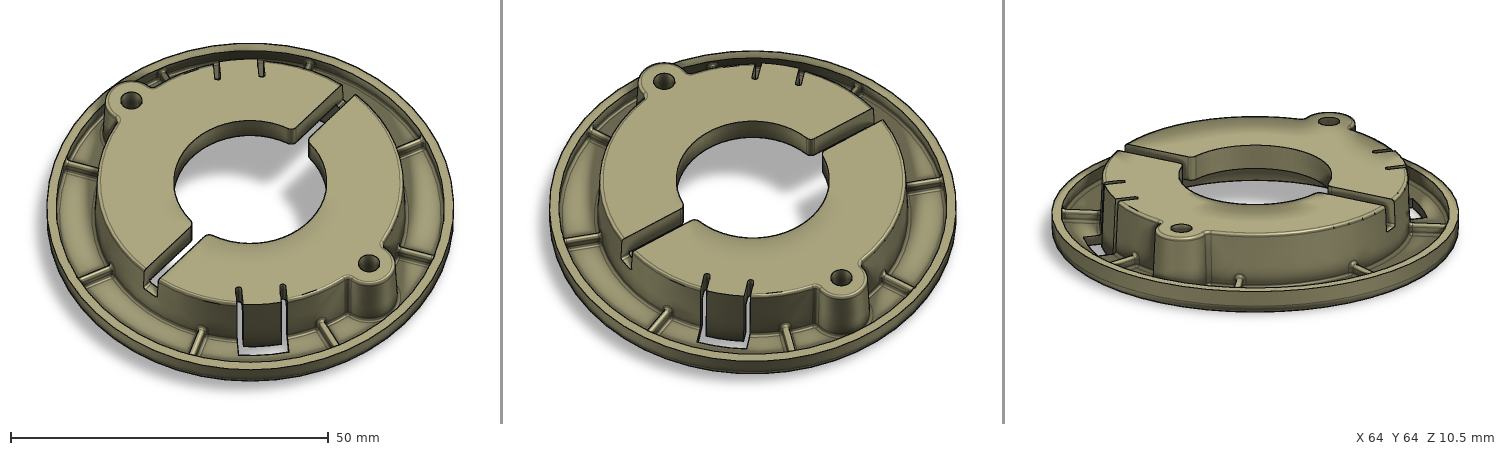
import cadquery as cq
import math

flange_radius = 32.0
flange_height = 4.0
flange_edge_fillet = 1.55
floor_thickness = 1.55
rim_thickness = 1.5
recess_fillet = 0.5

total_height = 10.5
hub_base_radius = 24.45
ear_base_radius = 4.5
ear_distance = 24.6
draft_angle = 2.5
ear_corner_fillet = 0.8
top_fillet = 0.5
plate_thickness = 4.0
cavity_radius = 22.65
screw_hole_radius = 1.65

bore_radius = 12.0
slot_width = 2.9
slot_depth = 4.5
slot_floor_fillet = 0.4
slot_mouth_fillet = 1.0

rib_width = 1.0
rib_height = 1.8
rib_overlap = 0.65
rib_count = 8
rib_spacing = 360 / rib_count
rib_angles = [rib_spacing * (index + 0.5) for index in range(rib_count)]

tab_angles = (135, 315)
window_width = 7.95
window_outer_radius = 27.3
slit_width = 0.95
slit_inner_distance = 20.35

hub_height = total_height - floor_thickness
tab_width = window_width - 2 * slit_width
ear_centers = [(-ear_distance, 0), (ear_distance, 0)]


def make_flange():
    """Dished disc with a rounded lower edge."""
    disc = cq.Workplane("XY").circle(flange_radius).extrude(flange_height)
    disc = disc.faces("<Z").edges().fillet(flange_edge_fillet)
    recess = (
        cq.Workplane("XY", origin=(0, 0, floor_thickness))
        .circle(flange_radius - rim_thickness)
        .extrude(flange_height)
    )
    return disc.cut(recess)


def make_hub():
    """Solid drafted hub with both ears, rounded corners and a rounded top edge."""
    base = cq.Workplane("XY", origin=(0, 0, floor_thickness))
    round_wall = base.circle(hub_base_radius).extrude(hub_height, taper=draft_angle)
    ears = base.pushPoints(ear_centers).circle(ear_base_radius).extrude(hub_height, taper=draft_angle)
    hub = round_wall.union(ears)
    corners = cq.selectors.BoxSelector(
        (-ear_distance, -hub_base_radius, floor_thickness + hub_height / 4),
        (ear_distance, hub_base_radius, total_height - hub_height / 4),
    )
    hub = hub.edges(corners).fillet(ear_corner_fillet)
    return hub.faces(">Z").edges().fillet(top_fillet)


def make_rib(angle):
    """Round-topped rib that reaches from the hub wall to the rim."""
    half = rib_width / 2
    shoulder = floor_thickness + rib_height - half
    inner_end = hub_base_radius - rib_overlap
    outer_end = flange_radius - rim_thickness + rib_overlap
    return (
        cq.Workplane("YZ", origin=(inner_end, 0, 0))
        .moveTo(-half, floor_thickness / 2)
        .lineTo(-half, shoulder)
        .threePointArc((0, shoulder + half), (half, shoulder))
        .lineTo(half, floor_thickness / 2)
        .close()
        .extrude(outer_end - inner_end)
        .rotate((0, 0, 0), (0, 0, 1), angle)
    )


def is_recess_corner(edge):
    """True for the edges where the recess floor, the ribs and the walls meet each other."""
    box = edge.BoundingBox()
    tolerance = 0.005
    rib_top = floor_thickness + rib_height
    in_rib_zone = box.zmin > floor_thickness - tolerance and box.zmax < rib_top + tolerance
    on_floor = box.zmax < floor_thickness + tolerance
    on_wall = box.zmax - box.zmin > tolerance
    return in_rib_zone and (on_floor or on_wall)


def make_slot():
    """Slot along Y through the plate and the hub wall, with a rounded floor."""
    return (
        cq.Workplane("XY", origin=(0, 0, total_height - slot_depth))
        .rect(slot_width, 2 * hub_base_radius)
        .extrude(slot_depth)
        .edges("|Y and <Z")
        .fillet(slot_floor_fillet)
    )


def tab_surroundings(angle):
    """Everything to clear around a tab: the window, the hub wall and the two slits."""
    window = (
        cq.Workplane("XY")
        .center((cavity_radius + flange_radius) / 2, 0)
        .rect(flange_radius - cavity_radius, window_width)
        .extrude(total_height)
        .intersect(cq.Workplane("XY").circle(window_outer_radius).extrude(total_height))
    )
    slit_length = cavity_radius + slit_width - slit_inner_distance
    slit_offset = (tab_width + slit_width) / 2
    slit_middle = slit_inner_distance + slit_length / 2
    slits = (
        cq.Workplane("XY")
        .pushPoints([(slit_middle, -slit_offset), (slit_middle, slit_offset)])
        .slot2D(slit_length, slit_width)
        .extrude(total_height)
    )
    return window.union(slits).rotate((0, 0, 0), (0, 0, 1), angle)


def make_tab(angle):
    """Tab that hangs from the plate: a piece of the drafted hub wall with a sharp top edge."""
    bottom_radius = hub_base_radius + floor_thickness * math.tan(math.radians(draft_angle))
    wall = (
        cq.Workplane("XY")
        .circle(bottom_radius)
        .extrude(total_height, taper=draft_angle)
        .cut(cq.Workplane("XY").circle(cavity_radius).extrude(total_height - plate_thickness))
    )
    strip = (
        cq.Workplane("XY")
        .center((slit_inner_distance + flange_radius) / 2, 0)
        .rect(flange_radius - slit_inner_distance, tab_width)
        .extrude(total_height)
    )
    return wall.intersect(strip).rotate((0, 0, 0), (0, 0, 1), angle)


body = make_flange().union(make_hub())
for angle in rib_angles:
    body = body.union(make_rib(angle))
recess_corners = [edge for edge in body.edges().vals() if is_recess_corner(edge)]
body = body.newObject(recess_corners).fillet(recess_fillet)

body = body.cut(cq.Workplane("XY").circle(cavity_radius).extrude(total_height - plate_thickness))
opening = cq.Workplane("XY").circle(bore_radius).extrude(total_height).union(make_slot())
body = body.cut(opening)
plate_middle = total_height - plate_thickness / 2
slot_mouths = cq.selectors.BoxSelector(
    (-slot_width, -bore_radius, plate_middle - plate_thickness / 4),
    (slot_width, bore_radius, plate_middle + plate_thickness / 4),
)
body = body.edges("|Z").edges(slot_mouths).fillet(slot_mouth_fillet)

screw_holes = cq.Workplane("XY").pushPoints(ear_centers).circle(screw_hole_radius).extrude(total_height)
body = body.cut(screw_holes)

for angle in tab_angles:
    body = body.cut(tab_surroundings(angle)).union(make_tab(angle))

result = body